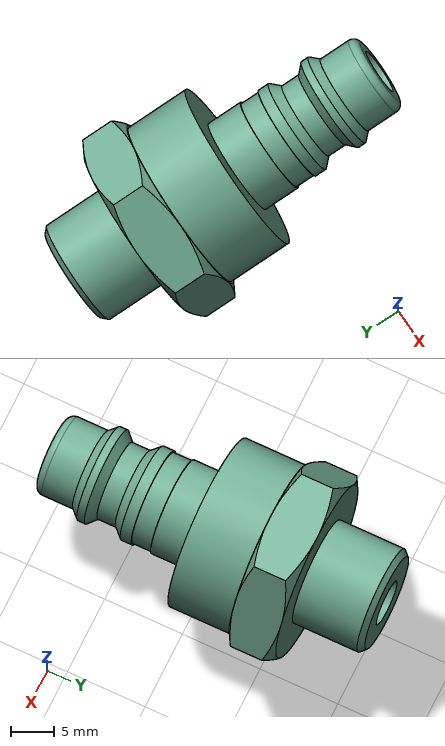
import cadquery as cq
import math

total_length = 43.0
thread_length = 9.0
hex_length = 6.0
collar_length = 8.0

hex_start = total_length - thread_length - hex_length
collar_start = hex_start - collar_length
relief_end = 15.5
relief_start = 13.0
rear_land_start = 11.55
neck_end = 10.4
neck_start = 8.05
front_land_end = 6.95
front_land_start = 5.98
tip_end = 4.95

hex_flats = 22.0
collar_diameter = 21.5
thread_diameter = 13.15
thread_chamfer = 0.7
land_diameter = 12.0
relief_diameter = 11.6
neck_diameter = 9.8
tip_diameter = 10.0
tip_radius = 1.0
bore_diameter = 5.6

hex_corners = hex_flats / math.cos(math.pi / 6)
hex_chamfer_angle = 30.0


def make_plug():
    """Revolve the plug nose, collar and threaded end, with the bore left open."""
    tip_r = tip_diameter / 2
    land_r = land_diameter / 2
    relief_r = relief_diameter / 2
    neck_r = neck_diameter / 2
    collar_r = collar_diameter / 2
    thread_r = thread_diameter / 2
    bore_r = bore_diameter / 2
    arc_offset = tip_radius * (1 - math.sqrt(0.5))
    return (
        cq.Workplane("XY")
        .moveTo(bore_r, 0)
        .lineTo(tip_r - tip_radius, 0)
        .threePointArc((tip_r - arc_offset, arc_offset), (tip_r, tip_radius))
        .lineTo(tip_r, tip_end)
        .lineTo(land_r, front_land_start)
        .lineTo(land_r, front_land_end)
        .lineTo(neck_r, neck_start)
        .lineTo(neck_r, neck_end)
        .lineTo(land_r, rear_land_start)
        .lineTo(land_r, relief_start)
        .lineTo(relief_r, relief_start)
        .lineTo(relief_r, relief_end)
        .lineTo(land_r, relief_end)
        .lineTo(land_r, collar_start)
        .lineTo(collar_r, collar_start)
        .lineTo(collar_r, hex_start)
        .lineTo(thread_r, hex_start)
        .lineTo(thread_r, total_length - thread_chamfer)
        .lineTo(thread_r - thread_chamfer, total_length)
        .lineTo(bore_r, total_length)
        .close()
        .revolve(360, (0, 0, 0), (0, 1, 0))
    )


def make_hexagon():
    """Hexagon with corners on X, trimmed by a cone at each end."""
    prism = (
        cq.Workplane("XZ", origin=(0, hex_start + hex_length, 0))
        .polygon(6, hex_corners)
        .extrude(hex_length)
    )
    corner_r = hex_corners / 2
    face_r = hex_flats / 2
    drop = (corner_r - face_r) * math.tan(math.radians(hex_chamfer_angle))
    hex_end = hex_start + hex_length
    envelope = (
        cq.Workplane("XY")
        .moveTo(0, hex_start)
        .lineTo(face_r, hex_start)
        .lineTo(corner_r, hex_start + drop)
        .lineTo(corner_r, hex_end - drop)
        .lineTo(face_r, hex_end)
        .lineTo(0, hex_end)
        .close()
        .revolve(360, (0, 0, 0), (0, 1, 0))
    )
    bore = (
        cq.Workplane("XZ", origin=(0, hex_end, 0))
        .circle(bore_diameter / 2)
        .extrude(hex_length)
    )
    return prism.intersect(envelope).cut(bore)


result = make_plug().union(make_hexagon()).translate((0, -total_length / 2, 0))